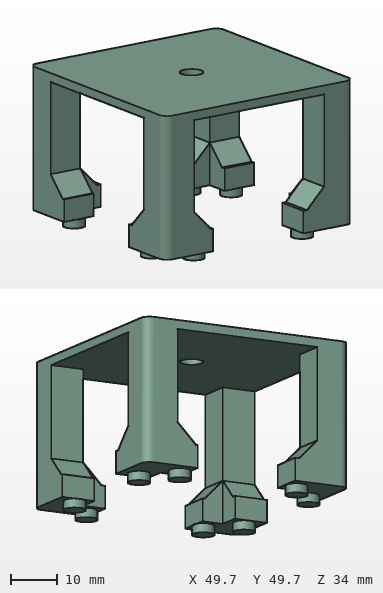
import cadquery as cq

side = 49.7
plate_thickness = 2.0
corner_radius = 2.0
hole_diameter = 5.0

total_height = 34.0
pin_length = 2.0
leg_width = 7.8
foot_height = 5.0
ramp_height = 4.45
ramp_end = 12.3
short_reach = 12.75
long_reach = 13.25

pin_diameter = 4.8
pin_inset = 4.2
pin_reach = 10.6

leg_height = total_height - pin_length
half_side = side / 2


def make_plate():
    """Plate with its top at the total height and a central through hole."""
    return (
        cq.Workplane("XY")
        .workplane(offset=total_height - plate_thickness)
        .rect(side, side)
        .extrude(plate_thickness)
        .faces(">Z")
        .workplane()
        .hole(hole_diameter)
    )


def make_leg_arm(reach):
    """Leg post with a foot along +X, its outer corner at the origin."""
    return (
        cq.Workplane("XZ")
        .polyline([
            (0, 0),
            (reach, 0),
            (reach, foot_height),
            (ramp_end, foot_height),
            (leg_width, foot_height + ramp_height),
            (leg_width, leg_height),
            (0, leg_height),
        ])
        .close()
        .extrude(-leg_width)
    )


def make_leg():
    """Leg at the -X, -Y corner: short foot along +X, long foot along +Y, one pin under each."""
    arm_x = make_leg_arm(short_reach)
    arm_y = make_leg_arm(long_reach).mirror("YZ").rotate((0, 0, 0), (0, 0, 1), -90)
    pins = (
        cq.Workplane("XY")
        .pushPoints([(pin_reach, pin_inset), (pin_inset, pin_reach)])
        .circle(pin_diameter / 2)
        .extrude(-pin_length)
    )
    return arm_x.union(arm_y).union(pins).translate((-half_side, -half_side, pin_length))


result = make_plate()
leg = make_leg()
for quarter_turn in range(4):
    result = result.union(leg.rotate((0, 0, 0), (0, 0, 1), 90 * quarter_turn))

rounded_outline = (
    cq.Workplane("XY")
    .rect(side, side)
    .extrude(total_height)
    .edges("|Z")
    .fillet(corner_radius)
)
result = result.intersect(rounded_outline).clean()